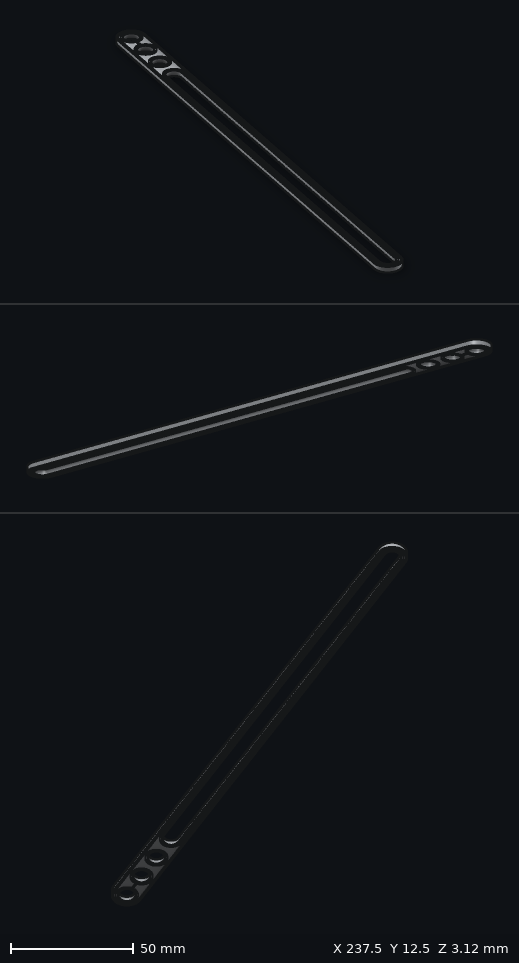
import cadquery as cq

length = 237.5
pitch_count = 19
pitch = length / pitch_count
width = pitch
thickness = pitch / 4

hole_count = 3
bore_diameter = 7.0

rib_height = 0.3
border_outer_width = 11.9
border_inner_width = 11.0
collar_outer_diameter = 9.3
collar_inner_diameter = 7.5
link_rib_width = 0.5

plate_thickness = thickness - 2 * rib_height
first_hole_x = -length / 2 + width / 2
last_center_x = -first_hole_x
hole_xs = [first_hole_x + i * pitch for i in range(hole_count)]
slot_start_x = first_hole_x + hole_count * pitch


def stadium(start_x, end_x, diameter, base_z, height):
    """Round-ended prism whose end arcs are centred at start_x and end_x."""
    span = end_x - start_x
    middle_x = (start_x + end_x) / 2
    return cq.Workplane("XY", origin=(middle_x, 0, base_z)).slot2D(span + diameter, diameter).extrude(height)


def opening_prisms(diameter, base_z, height):
    """Prisms of one diameter around the axes of all the holes and the slot."""
    prisms = stadium(slot_start_x, last_center_x, diameter, base_z, height)
    for x in hole_xs:
        prisms = prisms.union(cq.Workplane("XY", origin=(x, 0, base_z)).circle(diameter / 2).extrude(height))
    return prisms


def border_rib(base_z):
    """Rib that follows the outline, set slightly in from the edge."""
    outer = stadium(first_hole_x, last_center_x, border_outer_width, base_z, rib_height)
    inner = stadium(first_hole_x, last_center_x, border_inner_width, base_z, rib_height)
    return outer.cut(inner)


def link_rib(base_z):
    """Thin straight rib on the centre line between the first two holes."""
    middle_x = first_hole_x + pitch / 2
    return (
        cq.Workplane("XY", origin=(middle_x, 0, base_z))
        .rect(pitch, link_rib_width)
        .extrude(rib_height)
    )


def face_ribs(base_z):
    """Border, collars and link rib of one broad face, clear of the openings."""
    collars = opening_prisms(collar_outer_diameter, base_z, rib_height)
    ribs = border_rib(base_z).union(collars).union(link_rib(base_z))
    return ribs.cut(opening_prisms(collar_inner_diameter, base_z, rib_height))


bar = stadium(first_hole_x, last_center_x, width, rib_height, plate_thickness)
for rib_base_z in (0, thickness - rib_height):
    bar = bar.union(face_ribs(rib_base_z))

result = bar.cut(opening_prisms(bore_diameter, 0, thickness))